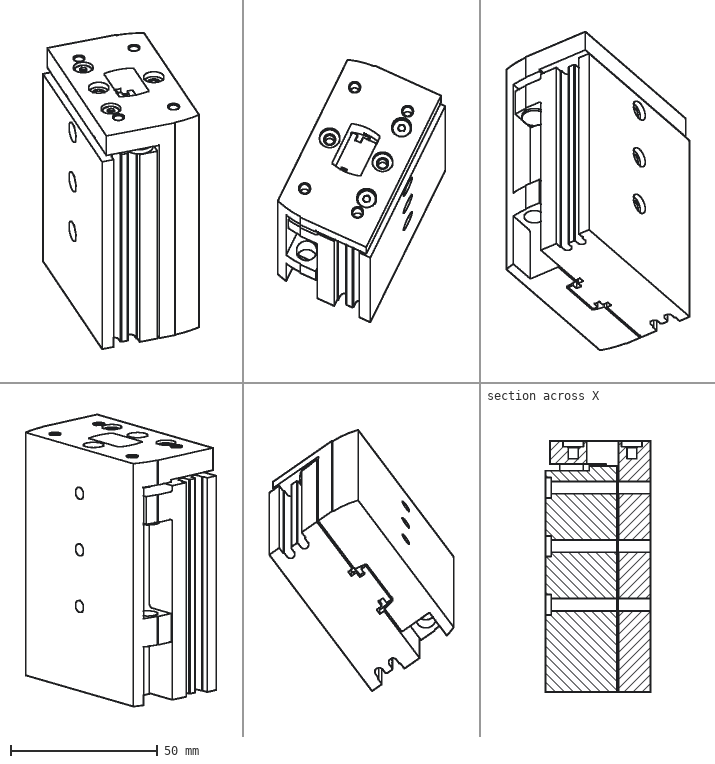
import cadquery as cq
import math

HEIGHT = 86.0
WIDTH = 60.0
DEPTH = 36.0
HALF_WIDTH = WIDTH / 2

HOUSING_BACK_Y = 20.1
HOUSING_TOP_Z = 75.85

PLATE_FRONT_Y = 1.55
PLATE_BOTTOM_Z = 78.1
TABLE_FRONT_Y = 20.7
TAPER_START_Y = 26.5
TAPER_STEP = 0.3
TAPER_INSET = 2.1
TAPER_BULGE = 0.35

RECESS_INNER_X = -18.8
RECESS_BACK_Y = 32.3
RECESS_TOP_Z = 77.2
LUG_BOTTOM_Z = 20.6
LUG_TOP_Z = 30.7
RECESS_FILLET = 1.3
LUG_HOLE_DIAMETER = 7.0
STOP_AXIS_X = -24.6
STOP_AXIS_Y = 26.7

RAIL_HALF_WIDTH = 7.4
RAIL_FRONT_Y = 15.0
RAIL_BACK_Y = 24.5
RAIL_TOP_Z = 77.5
RAIL_GROOVE_DEPTH = 2.1
RAIL_GROOVE_FRONT_Y = 20.5
RAIL_GROOVE_BACK_Y = 22.5
RACE_FRONT_Y = 18.9
RACE_BOTTOM_Z = 2.75
RACE_TOP_Z = HOUSING_TOP_Z
RACE_CLEARANCE = 0.6

CHANNEL_FRONT_Y = 14.2
CHANNEL_BACK_Y = 25.0
CHANNEL_END_HALF_WIDTH = 7.8
CHANNEL_MID_HALF_WIDTH = 8.7
CHANNEL_CORNER_RADIUS = 0.5

HOLE_PITCH = 20.0
MOUNT_HOLE_DIAMETER = 4.1
COUNTERBORE_DIAMETER = 7.0
COUNTERBORE_DEPTH = 2.0
LOWEST_MOUNT_HOLE_Z = 29.9
MOUNT_HOLE_COUNT = 3
TAP_HOLE_DIAMETER = 3.3
TAP_HOLE_CHAMFER = 0.39
TAP_HOLE_BOTTOM_Z = 80.0
FRONT_TAP_ROW_Y = 9.55

ROD_X = 14.0
ROD_Y = 8.95
ROD_DIAMETER = 8.1
ROD_WELL_DIAMETER = 12.0
ROD_WELL_DEPTH = 1.7
SCREW_POCKET_DIAMETER = 6.7
SCREW_POCKET_DEPTH = 1.5
SCREW_HEAD_DIAMETER = 6.0
SCREW_HEAD_HEIGHT = 0.7
SCREW_HEAD_FILLET = 0.4
SOCKET_ACROSS_FLATS = 2.2
SOCKET_DEPTH = 0.9

SLOT_FRONT_Y = 4.2
SLOT_BACK_Y = 13.7
SLOT_DEPTH = 2.4
SLOT_RIB_FRONT_Y = 7.8
SLOT_RIB_BACK_Y = 10.1
SLOT_RIB_HEIGHT = 0.3
SLOT_GROOVE_WIDTH = 2.9
SLOT_GROOVE_DEPTH = 1.7
SLOT_GROOVE_MARGIN = 0.35

TAB_INNER_X = -19.95
TAB_BACK_Y = 31.4
TAB_BOTTOM_Z = 64.0
TAB_TOP_Z = 73.8
TAB_FILLET = 0.9
NUT_DIAMETER = 8.5
NUT_HEIGHT = 0.9

BUMPER_X = 25.1
BUMPER_Y = 15.2
BUMPER_DIAMETER = 9.5
BUMPER_TOP_Z = 77.6
BUMPER_TIP_DIAMETER = 5.0
BUMPER_TIP_HEIGHT = 0.35


def box(x_min, x_max, y_min, y_max, z_min, z_max):
    """Box given by its limits along each axis."""
    size = (x_max - x_min, y_max - y_min, z_max - z_min)
    return cq.Workplane("XY").box(*size, centered=False).translate((x_min, y_min, z_min))


def post(x, y, diameter, z_min, z_max):
    """Upright cylinder."""
    return cq.Workplane("XY").workplane(offset=z_min).center(x, y).circle(diameter / 2).extrude(z_max - z_min)


def tapered_block(front_y, z_min, z_max):
    """Full-width block whose two sides curve inward towards the back."""
    back_half = HALF_WIDTH - TAPER_INSET
    start_half = HALF_WIDTH - TAPER_STEP
    start_y = TAPER_START_Y + TAPER_STEP
    mid_half = (start_half + back_half) / 2 + TAPER_BULGE
    mid_y = (start_y + DEPTH) / 2
    return (
        cq.Workplane("XY").workplane(offset=z_min)
        .moveTo(-HALF_WIDTH, front_y)
        .lineTo(HALF_WIDTH, front_y)
        .lineTo(HALF_WIDTH, TAPER_START_Y)
        .lineTo(start_half, start_y)
        .threePointArc((mid_half, mid_y), (back_half, DEPTH))
        .lineTo(-back_half, DEPTH)
        .threePointArc((-mid_half, mid_y), (-start_half, start_y))
        .lineTo(-HALF_WIDTH, TAPER_START_Y)
        .close()
        .extrude(z_max - z_min)
    )


def races():
    """The two strips beside the rail, each with a rib that fills a groove of the rail."""
    right = box(
        RAIL_HALF_WIDTH, CHANNEL_MID_HALF_WIDTH, RACE_FRONT_Y, CHANNEL_BACK_Y, RACE_BOTTOM_Z, RACE_TOP_Z
    )
    return right.union(right.mirror("YZ")).union(rail_grooves(RACE_BOTTOM_Z, RACE_TOP_Z))


def rail_grooves(z_min, z_max):
    """The two bars that fill the grooves in the sides of the rail."""
    inner = RAIL_HALF_WIDTH - RAIL_GROOVE_DEPTH
    right = box(inner, RAIL_HALF_WIDTH, RAIL_GROOVE_FRONT_Y, RAIL_GROOVE_BACK_Y, z_min, z_max)
    return right.union(right.mirror("YZ"))


def guide_channel():
    """Full-height channel for the rail, with bowed ends and rounded corners."""
    mid_y = (CHANNEL_FRONT_Y + CHANNEL_BACK_Y) / 2
    return (
        cq.Workplane("XY")
        .moveTo(-CHANNEL_END_HALF_WIDTH, CHANNEL_FRONT_Y)
        .lineTo(CHANNEL_END_HALF_WIDTH, CHANNEL_FRONT_Y)
        .threePointArc((CHANNEL_MID_HALF_WIDTH, mid_y), (CHANNEL_END_HALF_WIDTH, CHANNEL_BACK_Y))
        .lineTo(-CHANNEL_END_HALF_WIDTH, CHANNEL_BACK_Y)
        .threePointArc((-CHANNEL_MID_HALF_WIDTH, mid_y), (-CHANNEL_END_HALF_WIDTH, CHANNEL_FRONT_Y))
        .close()
        .extrude(HEIGHT)
        .edges("|Z").fillet(CHANNEL_CORNER_RADIUS)
    )


def side_recesses():
    """Openings above and below the lug on the -X side of the table."""
    upper = box(-HALF_WIDTH, RECESS_INNER_X, TABLE_FRONT_Y, RECESS_BACK_Y, LUG_TOP_Z, RECESS_TOP_Z)
    upper = upper.edges("|Y and >X").fillet(RECESS_FILLET)
    lower = box(-HALF_WIDTH, RECESS_INNER_X, TABLE_FRONT_Y, RECESS_BACK_Y, 0, LUG_BOTTOM_Z)
    lower = lower.edges("|Y and >X and >Z").fillet(RECESS_FILLET)
    return upper.union(lower)


def mount_holes():
    """Row of through holes along Y on the centre line, counterbored at the front."""
    row = [(0, LOWEST_MOUNT_HOLE_Z + i * HOLE_PITCH) for i in range(MOUNT_HOLE_COUNT)]
    through = cq.Workplane("XZ").pushPoints(row).circle(MOUNT_HOLE_DIAMETER / 2).extrude(-DEPTH)
    bores = cq.Workplane("XZ").pushPoints(row).circle(COUNTERBORE_DIAMETER / 2).extrude(-COUNTERBORE_DEPTH)
    return through.union(bores)


def tap_hole(x, y, top_z):
    """Blind tapped hole in the end plate, chamfered at its mouth."""
    radius = TAP_HOLE_DIAMETER / 2
    mouth_z = top_z - TAP_HOLE_CHAMFER
    mouth = cq.Solid.makeCone(
        radius, radius + TAP_HOLE_CHAMFER, TAP_HOLE_CHAMFER, pnt=cq.Vector(x, y, mouth_z)
    )
    return post(x, y, TAP_HOLE_DIAMETER, TAP_HOLE_BOTTOM_Z, top_z).union(cq.Workplane(mouth))


def plate_holes():
    """Two rows of three tapped holes; the middle one of each row is counterbored."""
    counterbore_z = HEIGHT - COUNTERBORE_DEPTH
    cutter = cq.Workplane("XY")
    for y in (FRONT_TAP_ROW_Y, FRONT_TAP_ROW_Y + HOLE_PITCH):
        for x in (-HOLE_PITCH, HOLE_PITCH):
            cutter = cutter.add(tap_hole(x, y, HEIGHT))
        cutter = cutter.add(tap_hole(0, y, counterbore_z))
        cutter = cutter.add(post(0, y, COUNTERBORE_DIAMETER, counterbore_z, HEIGHT))
    return cutter.combine()


def screw_pocket(x):
    """Ring-shaped pocket around a screw head, with a hexagon socket in the head."""
    floor_z = HEIGHT - SCREW_POCKET_DEPTH
    head_z = floor_z + SCREW_HEAD_HEIGHT
    pocket = post(x, ROD_Y, SCREW_POCKET_DIAMETER, floor_z, HEIGHT)
    head = post(x, ROD_Y, SCREW_HEAD_DIAMETER, floor_z, head_z)
    head = head.faces(">Z").edges().fillet(SCREW_HEAD_FILLET)
    across_corners = SOCKET_ACROSS_FLATS / math.cos(math.radians(30))
    socket = (
        cq.Workplane("XY").workplane(offset=head_z).center(x, ROD_Y)
        .polygon(6, across_corners).extrude(-SOCKET_DEPTH)
    )
    return pocket.cut(head).union(socket)


def make_table():
    """Sliding table: end plate, slab and guide channel in one piece."""
    table = tapered_block(PLATE_FRONT_Y, PLATE_BOTTOM_Z, HEIGHT)
    table = table.union(tapered_block(TABLE_FRONT_Y, 0, PLATE_BOTTOM_Z))
    table = table.cut(side_recesses())
    table = table.cut(guide_channel()).union(races())
    table = table.cut(post(STOP_AXIS_X, STOP_AXIS_Y, LUG_HOLE_DIAMETER, LUG_BOTTOM_Z, LUG_TOP_Z))
    table = table.cut(plate_holes())
    for x in (-ROD_X, ROD_X):
        table = table.cut(screw_pocket(x))
    return table.cut(mount_holes())


def side_slot():
    """Sensor slot along the +X side: two round-bottomed grooves and a low rib in a wide recess."""
    floor_x = HALF_WIDTH - SLOT_DEPTH
    slot = box(floor_x, HALF_WIDTH, SLOT_FRONT_Y, SLOT_BACK_Y, 0, HOUSING_TOP_Z)
    rib_x = floor_x + SLOT_RIB_HEIGHT
    slot = slot.cut(box(floor_x, rib_x, SLOT_RIB_FRONT_Y, SLOT_RIB_BACK_Y, 0, HOUSING_TOP_Z))
    radius = SLOT_GROOVE_WIDTH / 2
    edge_to_axis = SLOT_GROOVE_MARGIN + radius
    axis_x = floor_x - SLOT_GROOVE_DEPTH
    for y in (SLOT_FRONT_Y + edge_to_axis, SLOT_BACK_Y - edge_to_axis):
        slot = slot.union(box(axis_x, floor_x, y - radius, y + radius, 0, HOUSING_TOP_Z))
        slot = slot.union(post(axis_x, y, SLOT_GROOVE_WIDTH, 0, HOUSING_TOP_Z))
    return slot


def make_rail():
    """Guide rail with a groove along each side."""
    rail = box(-RAIL_HALF_WIDTH, RAIL_HALF_WIDTH, RAIL_FRONT_Y, RAIL_BACK_Y, 0, RAIL_TOP_Z)
    return rail.cut(rail_grooves(0, RAIL_TOP_Z))


def make_stop_tab():
    """Tab reaching back over the lug, following the table's side, with a nut below it."""
    limits = box(-HALF_WIDTH, TAB_INNER_X, HOUSING_BACK_Y, TAB_BACK_Y, TAB_BOTTOM_Z, TAB_TOP_Z)
    tab = tapered_block(HOUSING_BACK_Y, TAB_BOTTOM_Z, TAB_TOP_Z).intersect(limits)
    nut = post(STOP_AXIS_X, STOP_AXIS_Y, NUT_DIAMETER, TAB_BOTTOM_Z - NUT_HEIGHT, TAB_BOTTOM_Z)
    return tab.union(nut)


def make_bumper():
    """Round bumper with a small tip."""
    bumper = post(BUMPER_X, BUMPER_Y, BUMPER_DIAMETER, HOUSING_TOP_Z, BUMPER_TOP_Z)
    tip_z = BUMPER_TOP_Z + BUMPER_TIP_HEIGHT
    return bumper.union(post(BUMPER_X, BUMPER_Y, BUMPER_TIP_DIAMETER, BUMPER_TOP_Z, tip_z))


def make_housing():
    """Cylinder housing with its rail, rods, stop tab and bumper."""
    housing = box(-HALF_WIDTH, HALF_WIDTH, 0, HOUSING_BACK_Y, 0, HOUSING_TOP_Z)
    slot = side_slot()
    housing = housing.cut(slot).cut(slot.mirror("YZ"))
    race_well_half = CHANNEL_MID_HALF_WIDTH + RACE_CLEARANCE
    race_well_front = RACE_FRONT_Y - RACE_CLEARANCE
    housing = housing.cut(
        box(-race_well_half, race_well_half, race_well_front, HOUSING_BACK_Y, 0, HOUSING_TOP_Z)
    )
    housing = housing.union(make_stop_tab())
    tab_roots = cq.selectors.BoxSelector(
        (-HALF_WIDTH, HOUSING_BACK_Y - TAB_FILLET, TAB_BOTTOM_Z - TAB_FILLET),
        (TAB_INNER_X, HOUSING_BACK_Y + TAB_FILLET, TAB_TOP_Z + TAB_FILLET),
    )
    housing = housing.edges(tab_roots).edges("|X").fillet(TAB_FILLET)
    housing = housing.union(make_rail())
    housing = housing.union(make_bumper())
    well_floor_z = HOUSING_TOP_Z - ROD_WELL_DEPTH
    for x in (-ROD_X, ROD_X):
        housing = housing.cut(post(x, ROD_Y, ROD_WELL_DIAMETER, well_floor_z, HOUSING_TOP_Z))
        housing = housing.union(post(x, ROD_Y, ROD_DIAMETER, well_floor_z, PLATE_BOTTOM_Z))
    return housing.cut(mount_holes())


table = make_table()
housing = make_housing()

result = cq.Compound.makeCompound([table.val(), housing.val()])